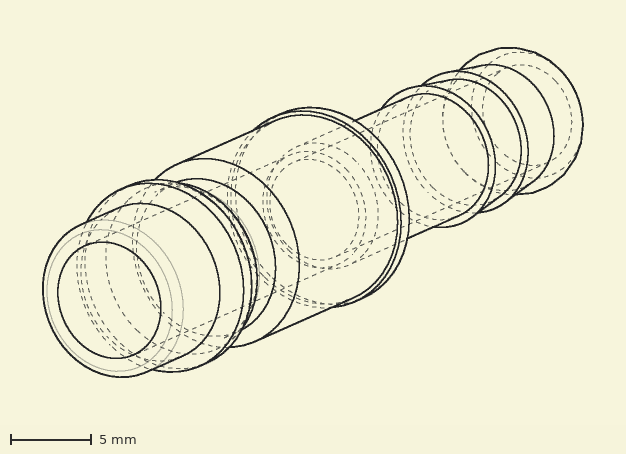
import cadquery as cq
import math

overall_length = 51.0
bulb_length = 3.5
barb_pitch = 4.0
barb_count = 2
collar_start = 25.0
collar_width = 1.0
collar_end = collar_start + collar_width
body_end = 38.0
neck_start = 39.2
neck_end = 41.2
lower_flare_end = 42.2
ridge_start = 43.8
ridge_end = 44.8
nose_start = 46.0

stem_diameter = 8.0
barb_diameter = 9.0
bulb_diameter = 9.25
collar_diameter = 12.5
body_diameter = 12.0
plug_diameter = 10.0
lower_flare_diameter = 10.9
bore_diameter = 6.4
tip_bore_diameter = 7.4

tip_fillet = 0.5

stem_radius = stem_diameter / 2
barb_radius = barb_diameter / 2
bulb_radius = bulb_diameter / 2
collar_radius = collar_diameter / 2
body_radius = body_diameter / 2
plug_radius = plug_diameter / 2
lower_flare_radius = lower_flare_diameter / 2


def along_axis(profile):
    """Turn a (radius, station) profile into a solid whose hose end faces +Y, centred on the origin."""
    solid = profile.close().revolve(360, (0, 0, 0), (0, 1, 0))
    return solid.mirror("XZ").translate((0, overall_length / 2, 0))


def add_flare(profile, start_radius, start, end_radius, end):
    """Concave arc that leaves parallel to the axis and widens to the end radius."""
    rise = end_radius - start_radius
    run = end - start
    sweep = 2 * math.atan2(rise, run)
    arc_radius = run / math.sin(sweep)
    middle_radius = start_radius + arc_radius * (1 - math.cos(sweep / 2))
    middle = start + arc_radius * math.sin(sweep / 2)
    return profile.threePointArc((middle_radius, middle), (end_radius, end))


def make_outside():
    """Solid body of revolution without the bore."""
    profile = cq.Workplane("XY").lineTo(stem_radius, 0)

    profile = profile.threePointArc((bulb_radius, bulb_length / 2), (stem_radius, bulb_length))

    for barb in range(barb_count):
        barb_end = bulb_length + (barb + 1) * barb_pitch
        profile = profile.lineTo(barb_radius, barb_end).lineTo(stem_radius, barb_end)

    profile = profile.lineTo(stem_radius, collar_start).lineTo(collar_radius, collar_start)
    profile = profile.lineTo(collar_radius, collar_end).lineTo(body_radius, collar_end)
    profile = profile.lineTo(body_radius, body_end)

    profile = profile.lineTo(plug_radius, neck_start).lineTo(plug_radius, neck_end)
    profile = add_flare(profile, plug_radius, neck_end, lower_flare_radius, lower_flare_end)
    profile = add_flare(profile, lower_flare_radius, lower_flare_end, body_radius, ridge_start)
    profile = profile.lineTo(body_radius, ridge_end).lineTo(plug_radius, nose_start)

    profile = profile.lineTo(plug_radius, overall_length - tip_fillet)
    profile = profile.tangentArcPoint((plug_radius - tip_fillet, overall_length), relative=False)
    profile = profile.lineTo(0, overall_length)
    return along_axis(profile)


def make_bore():
    """Through bore that widens, level with the end of the collar, towards the plug tip."""
    bore_radius = bore_diameter / 2
    tip_bore_radius = tip_bore_diameter / 2
    profile = cq.Workplane("XY").lineTo(bore_radius, 0).lineTo(bore_radius, collar_end)
    profile = profile.lineTo(tip_bore_radius, collar_end).lineTo(tip_bore_radius, overall_length)
    profile = profile.lineTo(0, overall_length)
    return along_axis(profile)


result = make_outside().cut(make_bore())